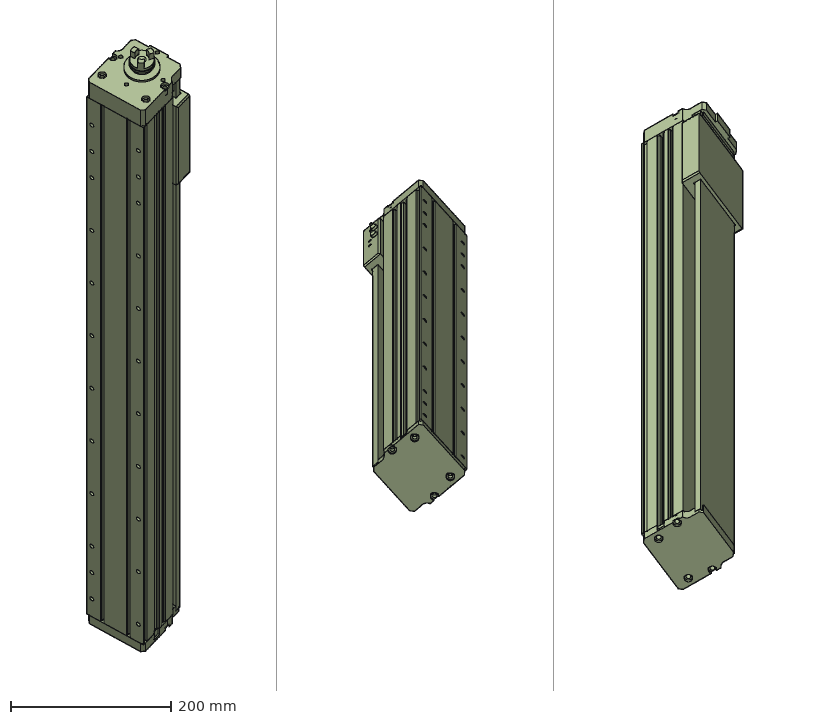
import cadquery as cq


total_length = 1056.0
overall_width = 109.0
cap_top = 16.0
profile_top = 998.0
head_top = 1028.0
head_upper_bottom = 1009.0
cover_bottom = 6.0

body_width = 88.0
profile_depth = 62.0
corner_chamfer = 4.0
neck_width = 77.0
shoulder_y = 61.0
neck_y = 72.0
shoulder_hollow = 2.0
head_depth = 91.0
cap_depth = 87.0

front_slot_offset = 20.0
front_slot_width = 5.0
front_slot_inner_width = 3.0
front_slot_depth = 6.0
mount_hole_diameter = 6.0
mount_hole_depth = 11.0
mount_hole_offset = 36.0
mount_hole_count = 10
lowest_mount_hole_z = 50.0
highest_mount_hole_z = 949.0
mount_hole_pitch = (highest_mount_hole_z - lowest_mount_hole_z) / (mount_hole_count - 1)

upper_groove_y = 43.0
upper_groove_width = 7.0
upper_groove_inner_width = 3.0
middle_groove_y = 29.0
middle_groove_width = 11.0
middle_groove_inner_width = 4.0
lower_groove_y = 5.0
lower_groove_width = 5.0
groove_depth = 6.0
lower_groove_depth = 3.0

mouth_depth = 2.0

cap_groove_bottom = 4.0

cover_width = neck_width
cover_y = 76.0
cover_thickness = 8.0
head_lip_bottom = 1000.0
cap_lip_top = 20.0
lip_width = cover_width - 2 * corner_chamfer
lip_thickness = cap_depth - cover_y - cover_thickness

top_tab_width = 29.0
top_tab_height = 3.0
spindle_y = 57.0
spigot_diameter = 45.0
spigot_height = 3.0
flange_hole_radius = 33.0
flange_hole_diameter = 5.2
flange_hole_depth = 11.0

screw_bore_diameter = 10.5
screw_bore_depth = 4.0
screw_hole_diameter = 6.0
screw_hole_depth = 15.0
screw_places = [(34.0, 19.0), (40.0, 51.0)]

shaft_diameter = 11.0
collar_diameter = 26.0
hub_bottom = 1038.0
hub_rim_top = 1041.0
jaw_bottom = 1045.0
hub_rim_diameter = 33.0
hub_diameter = 31.0
jaw_width = 8.0
jaw_count = 3
jaw_inner_diameter = 18.0

carriage_width = 100.0
carriage_y = 63.0
carriage_depth = 26.0
carriage_bottom = 833.0
carriage_length = 149.0
carriage_chamfer = 2.0
cover_clearance = 1.0
side_hole_diameter = 4.0
side_hole_depth = 8.0
side_hole_y = 79.0
side_hole_stations = [898.0, 917.0]

nipple_y = 71.0
nipple_stations = [922.0, 950.0]
nipple_length = overall_width - carriage_width
nipple_diameter = 9.0
nipple_tip_diameter = 3.3
nipple_collar_length = 3.0
nipple_tip_length = 2.0


def box(x_size, y_start, y_size, z_start, z_end):
    """Block centred on X = 0."""
    size_z = z_end - z_start
    block = cq.Workplane("XY").box(x_size, y_size, size_z, centered=(True, False, False))
    return block.translate((0, y_start, z_start))


def cylinder(diameter, x, y, z_start, z_end):
    """Round bar parallel to Z."""
    return cq.Workplane("XY", origin=(x, y, z_start)).circle(diameter / 2).extrude(z_end - z_start)


def end_block(depth, z_start, z_end):
    """Block with hollow-rounded shoulders and a narrower neck, the shape of both axis ends."""
    half_width = body_width / 2
    half_neck = neck_width / 2
    outline = cq.Workplane("XY", origin=(0, 0, z_start)).moveTo(-half_width, corner_chamfer)
    outline = outline.lineTo(-half_width + corner_chamfer, 0).lineTo(half_width - corner_chamfer, 0)
    outline = outline.lineTo(half_width, corner_chamfer).lineTo(half_width, shoulder_y)
    outline = outline.sagittaArc((half_neck, neck_y), shoulder_hollow)
    outline = outline.lineTo(half_neck, depth - corner_chamfer).lineTo(half_neck - corner_chamfer, depth)
    outline = outline.lineTo(-half_neck + corner_chamfer, depth).lineTo(-half_neck, depth - corner_chamfer)
    outline = outline.lineTo(-half_neck, neck_y)
    outline = outline.sagittaArc((-half_width, shoulder_y), shoulder_hollow)
    return outline.close().extrude(z_end - z_start)


def flank_grooves(middle_y, width, depth, z_start, z_end):
    """Cutters for the same groove on the -X and +X flanks, each reaching to the given depth."""
    groove = box(2 * depth, middle_y - width / 2, width, z_start, z_end)
    left = groove.translate((-body_width / 2, 0, 0))
    right = groove.translate((body_width / 2, 0, 0))
    return left.union(right)


def cut_screws(body, face_z, inward):
    """Counterbored screw holes from an end face; inward is the Z direction into the body."""
    face = cq.Workplane("XY", origin=(0, 0, face_z))
    places = [(side * offset, y) for side in (-1, 1) for offset, y in screw_places]
    bores = face.pushPoints(places).circle(screw_bore_diameter / 2).extrude(inward * screw_bore_depth)
    holes = face.pushPoints(places).circle(screw_hole_diameter / 2).extrude(inward * screw_hole_depth)
    return body.cut(bores).cut(holes)


def make_profile():
    profile = box(body_width, 0, profile_depth, cap_top, profile_top)
    mouth = box(front_slot_width, 0, mouth_depth, cap_top, profile_top)
    channel = box(front_slot_inner_width, 0, front_slot_depth, cap_top, profile_top)
    for side in (-1, 1):
        profile = profile.cut(mouth.union(channel).translate((side * front_slot_offset, 0, 0)))

    for middle_y, width, depth in (
        (upper_groove_y, upper_groove_width, mouth_depth),
        (upper_groove_y, upper_groove_inner_width, groove_depth),
        (middle_groove_y, middle_groove_width, mouth_depth),
        (middle_groove_y, middle_groove_inner_width, groove_depth),
        (lower_groove_y, lower_groove_width, lower_groove_depth),
    ):
        profile = profile.cut(flank_grooves(middle_y, width, depth, cap_top, profile_top))

    row = [lowest_mount_hole_z + i * mount_hole_pitch for i in range(mount_hole_count)]
    low_extra = row[0] + mount_hole_pitch / 2
    high_extra = row[-1] - mount_hole_pitch / 2
    places = [(side * mount_hole_offset, z) for side in (-1, 1) for z in row + [high_extra]]
    places.append((-mount_hole_offset, low_extra))
    holes = cq.Workplane("XZ").pushPoints(places).circle(mount_hole_diameter / 2).extrude(-mount_hole_depth)
    return profile.cut(holes)


def make_head():
    head = end_block(head_depth, profile_top, head_top)
    head = head.cut(box(body_width, neck_y, head_depth, profile_top, head_upper_bottom))
    lip_y = cover_y + cover_thickness
    head = head.union(box(lip_width, lip_y, lip_thickness, head_lip_bottom, head_top))
    head = head.union(box(top_tab_width, lip_y, head_depth + top_tab_height - lip_y,
                          head_upper_bottom, head_top))
    head = head.union(cylinder(spigot_diameter, 0, spindle_y, head_top, head_top + spigot_height))

    top_face = cq.Workplane("XY", origin=(0, spindle_y, head_top))
    holes = top_face.polarArray(flange_hole_radius, 0, 360, 4).circle(flange_hole_diameter / 2)
    head = head.cut(holes.extrude(-flange_hole_depth))

    head = cut_screws(head, head_top, -1)
    return head.cut(cylinder(shaft_diameter, 0, spindle_y, profile_top, total_length))


def make_end_cap():
    cap = end_block(cap_depth, 0, cap_top)
    cap = cap.cut(box(body_width, cover_y, cap_depth, cover_bottom, cap_top))
    lip_y = cover_y + cover_thickness
    cap = cap.union(box(lip_width, lip_y, lip_thickness, 0, cap_lip_top))
    cap = cap.cut(flank_grooves(middle_groove_y, middle_groove_width, mouth_depth, cap_groove_bottom, cap_top))
    return cut_screws(cap, 0, 1)


def make_cover():
    return box(cover_width, cover_y, cover_thickness, cover_bottom, head_upper_bottom)


def make_shaft():
    shaft = cylinder(shaft_diameter, 0, spindle_y, profile_top, jaw_bottom)
    return shaft.union(cylinder(collar_diameter, 0, spindle_y, head_top + spigot_height, hub_bottom))


def make_coupling():
    hub = cylinder(hub_diameter, 0, spindle_y, hub_bottom, jaw_bottom)
    hub = hub.union(cylinder(hub_rim_diameter, 0, spindle_y, hub_bottom, hub_rim_top))
    hub = hub.cut(cylinder(shaft_diameter, 0, spindle_y, hub_bottom, jaw_bottom))
    ring = cylinder(hub_diameter, 0, spindle_y, jaw_bottom, total_length)
    ring = ring.cut(cylinder(jaw_inner_diameter, 0, spindle_y, jaw_bottom, total_length))
    axis_start = (0, spindle_y, 0)
    axis_end = (0, spindle_y, 1)
    for i in range(jaw_count):
        spoke = cq.Workplane("XY", origin=(-hub_diameter / 2, spindle_y, jaw_bottom))
        spoke = spoke.rect(hub_diameter, jaw_width).extrude(total_length - jaw_bottom)
        jaw = ring.intersect(spoke.rotate(axis_start, axis_end, i * 360 / jaw_count))
        hub = hub.union(jaw)
    return hub


def make_nipple(z):
    """Collar with a cone that tapers to the -X side."""
    base_x = carriage_width / 2
    collar_x = base_x + nipple_collar_length
    tip_x = base_x + nipple_length
    cone_x = tip_x - nipple_tip_length
    outline = [
        (-base_x, 0),
        (-base_x, nipple_diameter / 2),
        (-collar_x, nipple_diameter / 2),
        (-cone_x, nipple_tip_diameter / 2),
        (-tip_x, nipple_tip_diameter / 2),
        (-tip_x, 0),
    ]
    nipple = cq.Workplane("XY").polyline(outline).close().revolve(360, (0, 0, 0), (1, 0, 0))
    return nipple.translate((0, nipple_y, z))


def make_carriage():
    carriage = box(carriage_width, carriage_y, carriage_depth, carriage_bottom, carriage_bottom + carriage_length)
    carriage = carriage.edges("|Y").chamfer(carriage_chamfer)
    carriage = carriage.faces("<Y").edges("|Z").chamfer(carriage_chamfer)

    carriage = carriage.cut(box(cover_width + 2 * cover_clearance, cover_y - cover_clearance,
                                cover_thickness + 2 * cover_clearance, 0, total_length))

    places = [(side_hole_y, z) for z in side_hole_stations]
    side_face = cq.Workplane("YZ", origin=(-carriage_width / 2, 0, 0))
    carriage = carriage.cut(side_face.pushPoints(places).circle(side_hole_diameter / 2).extrude(side_hole_depth))
    for z in nipple_stations:
        carriage = carriage.union(make_nipple(z))
    return carriage


profile = make_profile()
head = make_head()
end_cap = make_end_cap()
cover = make_cover()
carriage = make_carriage()
shaft = make_shaft()
coupling = make_coupling()

bodies = [profile, head, end_cap, cover, carriage, shaft, coupling]
result = cq.Compound.makeCompound([body.val() for body in bodies])